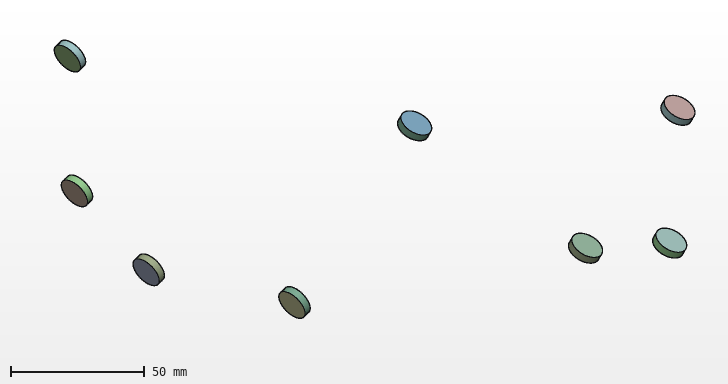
import cadquery as cq

overall_width = 121.0
overall_height = 111.9
disc_diameter = 12.7
disc_thickness = 3.1

span_x = overall_width - disc_diameter
span_z = overall_height - disc_diameter

upper_left_centre = (0, span_z)
right_centre = (span_x, 36.7)
lower_left_centre = (3.4, 20.1)
bottom_centre = (38.0, 0)
disc_centres = [upper_left_centre, right_centre, lower_left_centre, bottom_centre]


def make_disc(centre_x, centre_z):
    """Flat round disc with its axis along Y, its -Y face at Y = 0."""
    return (
        cq.Workplane("XZ", origin=(centre_x, 0, centre_z))
        .circle(disc_diameter / 2)
        .extrude(-disc_thickness)
    )


discs = []
for disc_x, disc_z in disc_centres:
    discs.append(make_disc(disc_x, disc_z).val())

result = cq.Compound.makeCompound(discs)